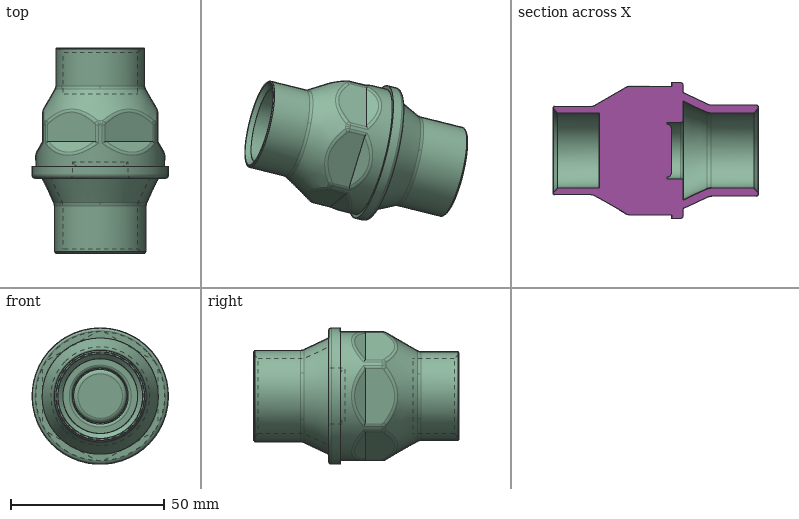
import cadquery as cq
import math

LENGTH = 67.0

INLET_RADIUS = 14.95
INLET_CHAMFER = 0.5
INLET_CONE_START = 15.95
INLET_CONE_RADIUS = 18.95
INLET_BLEND = 2.7
FLANGE_START = 24.45
FLANGE_END = 28.35
FLANGE_RADIUS = 22.25
FLANGE_ROUND = 1.0

BARREL_RADIUS = 21.05
BARREL_BLEND = 2.8
OUTLET_RADIUS = 14.5
OUTLET_CHAMFER = 0.35
OUTLET_CONE_END = 54.0
OUTLET_BLEND = 2.0
SLOPE_ANGLE = 30.0

FLAT_COUNT = 6
FLAT_DISTANCE = 18.75
FLAT_START = 36.45
FLAT_EDGE_ROUND = 2.0

SOCKET_RADIUS = 12.2
SOCKET_DEPTH = 15.0
MOUTH_RADIUS = 13.8
MOUTH_DEPTH = 1.5

CHAMBER_START = 16.2
CHAMBER_BLEND = 3.0

SEAT_RADIUS = 9.1
SEAT_ROUND = 1.0
DISC_RADIUS = 8.7
DISC_ROUND = 1.5

inlet_slope = (INLET_CONE_RADIUS - INLET_RADIUS) / (FLANGE_START - INLET_CONE_START)
chamber_end = FLANGE_START
chamber_radius = SOCKET_RADIUS + (chamber_end - CHAMBER_START) * inlet_slope
disc_face = FLANGE_END
slope = math.tan(math.radians(SLOPE_ANGLE))
outlet_cone_start = OUTLET_CONE_END - (BARREL_RADIUS - OUTLET_RADIUS) / slope


def round_ring(body, radius, y, size):
    """Round the circular edge of the given radius that lies at height y on the axis."""
    gap = 0.01
    ring = cq.selectors.BoxSelector(
        (-radius - gap, y - gap, -radius - gap), (radius + gap, y + gap, radius + gap), boundingbox=True
    )
    edges = [e for e in body.edges(ring).vals() if abs(e.BoundingBox().xmax - radius) < gap]
    return body.newObject(edges).fillet(size)


def make_outside():
    body = (
        cq.Workplane("XY")
        .moveTo(0, 0)
        .lineTo(INLET_RADIUS - INLET_CHAMFER, 0)
        .lineTo(INLET_RADIUS, INLET_CHAMFER)
        .lineTo(INLET_RADIUS, INLET_CONE_START)
        .lineTo(INLET_CONE_RADIUS, FLANGE_START)
        .lineTo(FLANGE_RADIUS, FLANGE_START)
        .lineTo(FLANGE_RADIUS, FLANGE_END)
        .lineTo(BARREL_RADIUS, FLANGE_END)
        .lineTo(BARREL_RADIUS, outlet_cone_start)
        .lineTo(OUTLET_RADIUS, OUTLET_CONE_END)
        .lineTo(OUTLET_RADIUS, LENGTH - OUTLET_CHAMFER)
        .lineTo(OUTLET_RADIUS - OUTLET_CHAMFER, LENGTH)
        .lineTo(0, LENGTH)
        .close()
        .revolve(360, (0, 0, 0), (0, 1, 0))
    )
    body = round_ring(body, INLET_RADIUS, INLET_CONE_START, INLET_BLEND)
    body = round_ring(body, FLANGE_RADIUS, FLANGE_START, FLANGE_ROUND)
    body = round_ring(body, BARREL_RADIUS, outlet_cone_start, BARREL_BLEND)
    body = round_ring(body, OUTLET_RADIUS, OUTLET_CONE_END, OUTLET_BLEND)
    return body.rotate((0, 0, 0), (0, 1, 0), 180 - 180 / FLAT_COUNT)


def cut_flat(body):
    """Cut the flat that faces +X, with its sloping run-out towards the flange, and round its outline."""
    reach = FLANGE_RADIUS
    cutter = (
        cq.Workplane("XY")
        .moveTo(FLAT_DISTANCE, FLAT_START)
        .lineTo(reach, FLAT_START - (reach - FLAT_DISTANCE) / slope)
        .lineTo(reach, OUTLET_CONE_END)
        .lineTo(FLAT_DISTANCE, OUTLET_CONE_END)
        .close()
        .extrude(FLANGE_RADIUS, both=True)
    )
    body = body.cut(cutter)
    outline = []
    for face in body.faces("%PLANE").vals():
        if abs(face.normalAt().y) > 0.9:
            continue
        for edge in face.Edges():
            is_crease = edge.BoundingBox().ylen < 0.01
            if not is_crease:
                outline.append(edge)
    return body.newObject(outline).fillet(FLAT_EDGE_ROUND)


def repeat_sector(body):
    """Keep the sector around the +X flat and repeat it around the axis."""
    reach = 2 * FLANGE_RADIUS
    half_width = reach * math.tan(math.pi / FLAT_COUNT)
    wedge = (
        cq.Workplane("XZ")
        .polyline([(0, 0), (reach, half_width), (reach, -half_width)])
        .close()
        .extrude(-LENGTH)
    )
    sector = body.intersect(wedge)
    whole = sector
    for index in range(1, FLAT_COUNT):
        whole = whole.union(sector.rotate((0, 0, 0), (0, 1, 0), index * 360 / FLAT_COUNT))
    return whole.clean()


def make_inlet_cavity():
    """Socket with a conical mouth, chamber, round-lipped seat and the narrow gap around the disc."""
    gap_floor = disc_face + DISC_ROUND
    cavity = (
        cq.Workplane("XY")
        .moveTo(0, 0)
        .lineTo(MOUTH_RADIUS, 0)
        .lineTo(SOCKET_RADIUS, MOUTH_DEPTH)
        .lineTo(SOCKET_RADIUS, CHAMBER_START)
        .lineTo(chamber_radius, chamber_end)
        .lineTo(SEAT_RADIUS + SEAT_ROUND, chamber_end)
        .radiusArc((SEAT_RADIUS, chamber_end + SEAT_ROUND), SEAT_ROUND)
        .lineTo(SEAT_RADIUS, gap_floor)
        .lineTo(DISC_RADIUS, gap_floor)
        .radiusArc((DISC_RADIUS - DISC_ROUND, disc_face), DISC_ROUND)
        .lineTo(0, disc_face)
        .close()
        .revolve(360, (0, 0, 0), (0, 1, 0))
    )
    return round_ring(cavity, SOCKET_RADIUS, CHAMBER_START, CHAMBER_BLEND)


def make_outlet_socket():
    """Plain blind socket, with the same mouth and bore as the inlet."""
    return (
        cq.Workplane("XY")
        .moveTo(0, LENGTH)
        .lineTo(MOUTH_RADIUS, LENGTH)
        .lineTo(SOCKET_RADIUS, LENGTH - MOUTH_DEPTH)
        .lineTo(SOCKET_RADIUS, LENGTH - SOCKET_DEPTH)
        .lineTo(0, LENGTH - SOCKET_DEPTH)
        .close()
        .revolve(360, (0, 0, 0), (0, 1, 0))
    )


body = repeat_sector(cut_flat(make_outside()))
result = body.cut(make_inlet_cavity()).cut(make_outlet_socket())